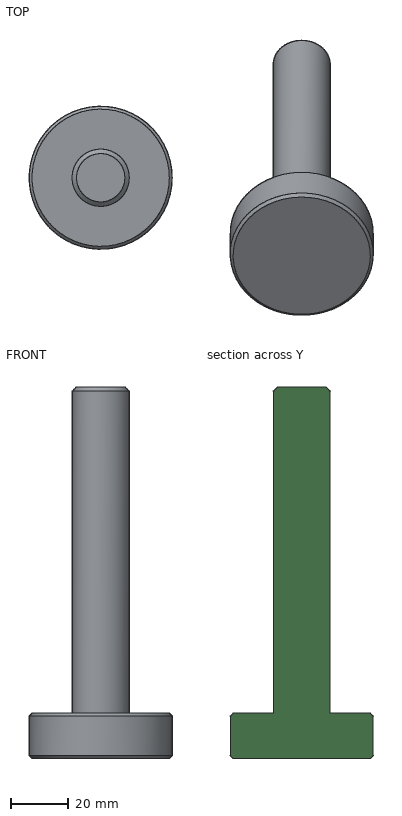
import cadquery as cq

total_height = 130.0
head_diameter = 50.0
head_height = 16.0
head_chamfer = 1.0
shaft_diameter = 20.0
tip_chamfer = 1.5

head = (
    cq.Workplane("XY")
    .circle(head_diameter / 2)
    .extrude(head_height)
    .edges()
    .chamfer(head_chamfer)
)

shaft = (
    cq.Workplane("XY")
    .circle(shaft_diameter / 2)
    .extrude(total_height)
    .faces(">Z")
    .edges()
    .chamfer(tip_chamfer)
)

result = head.union(shaft)